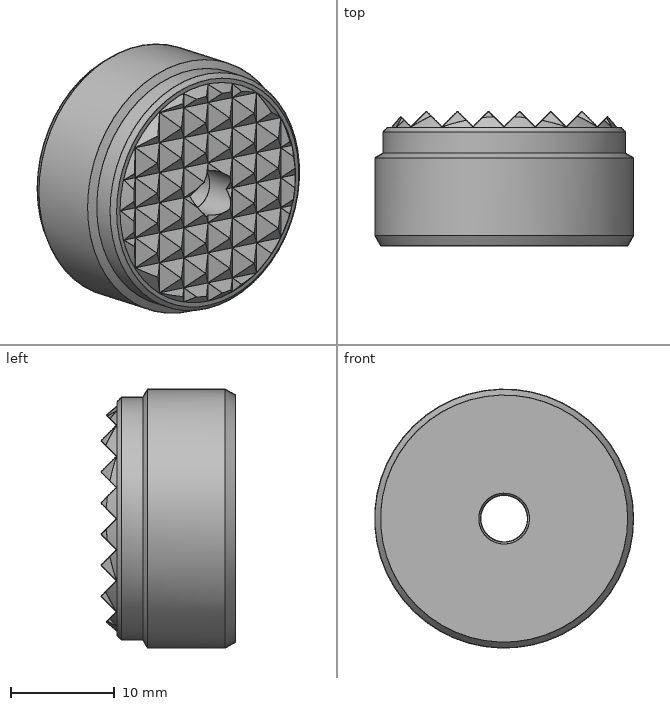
import cadquery as cq
import math


housing_radius = 12.5
housing_length = 8.95
end_chamfer_length = 1.0
end_chamfer_angle = 30.0
end_chamfer_depth = end_chamfer_length * math.tan(math.radians(end_chamfer_angle))
shoulder_chamfer_length = 0.45

insert_radius = 11.72
insert_length = 2.55
rim_chamfer = 0.45
rim_drop = 0.05

tooth_height = 1.5
tooth_pitch = 2 * tooth_height
grooves_per_side = 4
tooth_field_radius = 10.85
tooth_field_tip_radius = 9.6

bore_radius = 2.25
bore_chamfer = 0.2

tooth_root = housing_length + insert_length
tooth_tip = tooth_root + tooth_height
rim_plane = tooth_root - rim_drop


def turned(profile):
    """Revolve a closed (radius, y) outline about the Y axis."""
    return cq.Workplane("XY").polyline(profile).close().revolve(360, (0, 0, 0), (0, 1, 0))


def make_housing():
    """Chamfered cylinder with a bore that is chamfered at the plain end."""
    return turned([
        (bore_radius + bore_chamfer, 0),
        (housing_radius - end_chamfer_depth, 0),
        (housing_radius, end_chamfer_length),
        (housing_radius, housing_length - shoulder_chamfer_length),
        (insert_radius, housing_length),
        (bore_radius, housing_length),
        (bore_radius, bore_chamfer),
    ])


def make_insert_blank():
    """Insert before the teeth are cut: a chamfered disc with a tapered boss on top."""
    return turned([
        (bore_radius, housing_length),
        (insert_radius, housing_length),
        (insert_radius, rim_plane - rim_chamfer),
        (insert_radius - rim_chamfer, rim_plane),
        (tooth_field_radius, rim_plane),
        (tooth_field_tip_radius, tooth_tip),
        (bore_radius, tooth_tip),
    ])


def make_groove(offset):
    """V-groove running along Z, with its root at X = offset."""
    groove_length = 2 * housing_radius
    return (
        cq.Workplane("XY", origin=(offset, tooth_root, -groove_length / 2))
        .polyline([(0, 0), (tooth_height, tooth_height), (-tooth_height, tooth_height)])
        .close()
        .extrude(groove_length)
    )


def make_insert():
    """Cut crossing rows of V-grooves, which leave the pyramid teeth standing."""
    insert = make_insert_blank()
    for index in range(-grooves_per_side, grooves_per_side + 1):
        groove = make_groove(index * tooth_pitch)
        insert = insert.cut(groove)
        insert = insert.cut(groove.rotate((0, 0, 0), (0, 1, 0), 90))
    return insert


housing = make_housing()
insert = make_insert()

result = cq.Compound.makeCompound([housing.val(), insert.solids().val()])